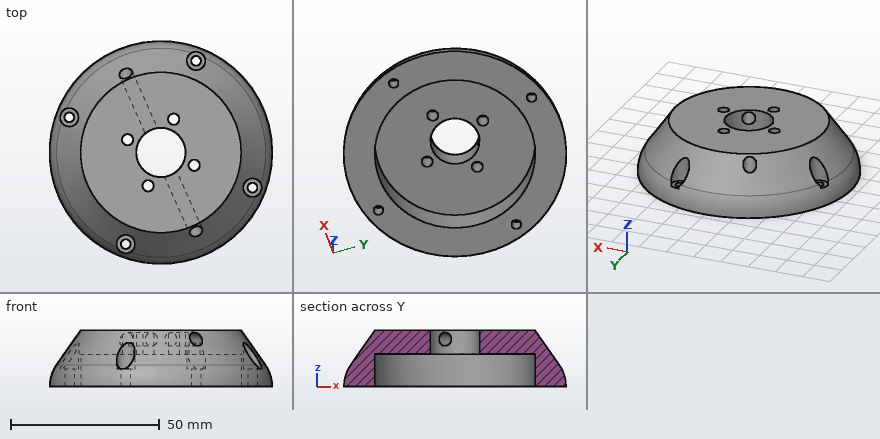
import cadquery as cq
import math

height = 19.0
base_radius = 37.5
top_radius = 27.0
rim_height = 7.35
rim_join_radius = 35.18

plate_thickness = 8.0
cavity_radius = 27.0

bore_diameter = 16.5
plate_hole_diameter = 3.7
plate_hole_circle_radius = 12.0

screw_hole_diameter = 3.2
counterbore_diameter = 6.2
counterbore_floor = 6.0
screw_circle_radius = 33.0

radial_hole_diameter = 4.5
radial_hole_height = 16.0

holes_per_circle = 4
hole_pitch_angle = 360.0 / holes_per_circle
first_hole_angle = 69.0
radial_hole_angle = first_hole_angle + hole_pitch_angle / 2


def rim_arc_radius():
    """Radius of the rim arc that starts vertical at the foot and ends on the cone."""
    inset = base_radius - rim_join_radius
    return (rim_height**2 + inset**2) / (2 * inset)


def make_body():
    """Revolved outer shape: rim arc rising vertically from the foot, then cone and flat top."""
    arc_radius = rim_arc_radius()
    half_sweep = math.asin(rim_height / arc_radius) / 2
    arc_middle = (
        base_radius - arc_radius * (1 - math.cos(half_sweep)),
        arc_radius * math.sin(half_sweep),
    )
    half_profile = (
        cq.Workplane("XZ")
        .lineTo(base_radius, 0)
        .threePointArc(arc_middle, (rim_join_radius, rim_height))
        .lineTo(top_radius, height)
        .lineTo(0, height)
        .close()
    )
    return half_profile.revolve(360, (0, 0), (0, 1))


def vertical_cylinder(diameter, bottom, top):
    """Cylinder on the Z axis between two heights."""
    return cq.Workplane("XY").workplane(offset=bottom).circle(diameter / 2).extrude(top - bottom)


def hole_circle(circle_radius, diameter, bottom):
    """Ring of evenly spaced vertical cutters reaching up past the cone."""
    return (
        cq.Workplane("XY")
        .workplane(offset=bottom)
        .polarArray(circle_radius, first_hole_angle, 360, holes_per_circle)
        .circle(diameter / 2)
        .extrude(height - bottom)
    )


def radial_holes():
    """One straight cross hole through both sides of the part and the bore."""
    return (
        cq.Workplane("YZ")
        .center(0, radial_hole_height)
        .circle(radial_hole_diameter / 2)
        .extrude(base_radius, both=True)
        .rotate((0, 0, 0), (0, 0, 1), radial_hole_angle)
    )


result = (
    make_body()
    .cut(vertical_cylinder(2 * cavity_radius, 0, height - plate_thickness))
    .cut(vertical_cylinder(bore_diameter, 0, height))
    .cut(hole_circle(plate_hole_circle_radius, plate_hole_diameter, 0))
    .cut(hole_circle(screw_circle_radius, screw_hole_diameter, 0))
    .cut(hole_circle(screw_circle_radius, counterbore_diameter, counterbore_floor))
    .cut(radial_holes())
)